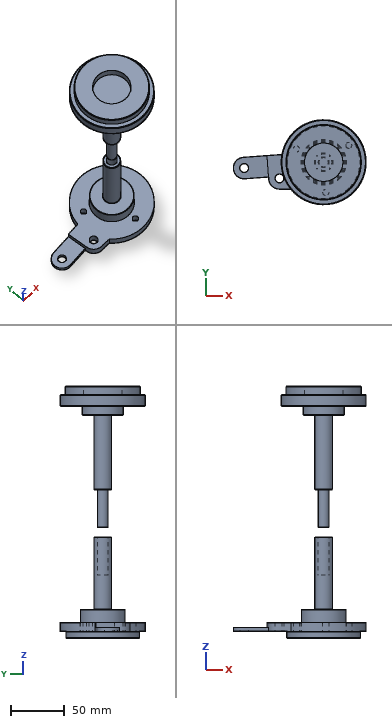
import cadquery as cq
import math

disc_top = 6.5
plate_top = 14.7
boss_top = 27.0
tube_top = 94.0
pin_bottom = 102.7
shaft_bottom = 137.7
hub_bottom = 206.7
flange_bottom = 215.0
flange_top = 226.0
knob_top = 233.8

flange_diameter = 78.8
shaft_diameter = 16.5
pin_diameter = 10.0
edge_chamfer = 0.7

cap_diameter = 70.0
hub_diameter = 38.4
pocket_diameter = 35.5
pocket_depth = 8.5

disc_diameter = 68.5
boss_diameter = 41.5
boss_chamfer = 0.5
foot_flare = 0.35
foot_angle = 45
bore_depth = shaft_bottom - pin_bottom

plate_bore_diameter = 42.0
screw_hole_diameter = 5.5
screw_circle_radius = 28.0
screw_hole_count = 3
screw_start_angle = 34
arm_thickness = 3.7
arm_radius = 10.0
arm_hole_diameter = 8.0
arm_hole_x = -73.7
arm_hole_y = -5.4
lug_radius = 10.0
lug_hole_x = -41.0
lug_hole_y = -15.0

plate_thickness = plate_top - disc_top
arm_length = math.hypot(arm_hole_x, arm_hole_y)
along_x = arm_hole_x / arm_length
along_y = arm_hole_y / arm_length
across_x = along_y
across_y = -along_x


def cylinder(diameter, bottom, top):
    return cq.Workplane("XY").workplane(offset=bottom).circle(diameter / 2).extrude(top - bottom)


def arm_point(distance, side):
    """Point at a distance out along the arm axis and a side offset toward +Y."""
    return (distance * along_x + side * across_x, distance * along_y + side * across_y)


def make_knob():
    cap = cylinder(cap_diameter, flange_top, knob_top).faces(">Z").chamfer(edge_chamfer)
    flange = cylinder(flange_diameter, flange_bottom, flange_top).edges().chamfer(edge_chamfer)
    hub = cylinder(hub_diameter, hub_bottom, flange_bottom).faces("<Z").chamfer(edge_chamfer)
    shaft = cylinder(shaft_diameter, shaft_bottom, hub_bottom).faces("<Z").chamfer(edge_chamfer)
    pin = cylinder(pin_diameter, pin_bottom, shaft_bottom).faces("<Z").chamfer(edge_chamfer)
    pocket = cylinder(pocket_diameter, knob_top - pocket_depth, knob_top)
    return cap.union(flange).union(hub).union(shaft).union(pin).cut(pocket)


def make_spindle():
    disc = cylinder(disc_diameter, 0, disc_top).edges().chamfer(edge_chamfer)
    boss = cylinder(boss_diameter, disc_top, boss_top).faces(">Z").chamfer(boss_chamfer)
    tube = cylinder(shaft_diameter, boss_top, tube_top).faces(">Z").chamfer(edge_chamfer)
    foot_diameter = shaft_diameter + 2 * foot_flare
    foot = (
        cq.Workplane("XY").workplane(offset=boss_top)
        .circle(foot_diameter / 2).extrude(foot_flare, taper=foot_angle)
    )
    bore = cylinder(pin_diameter, tube_top - bore_depth, tube_top)
    return disc.union(boss).union(tube).union(foot).cut(bore)


def make_arm():
    """Thin arm with a rounded end, level with the underside of the flange."""
    return (
        cq.Workplane("XY").workplane(offset=disc_top)
        .moveTo(*arm_point(flange_diameter / 2, arm_radius))
        .lineTo(*arm_point(arm_length, arm_radius))
        .threePointArc(arm_point(arm_length + arm_radius, 0), arm_point(arm_length, -arm_radius))
        .lineTo(*arm_point(flange_diameter / 2, -arm_radius))
        .close().extrude(arm_thickness)
    )


def make_lug():
    """Thick lug whose outer edge is square to the arm and rounds about the lug hole."""
    hole_distance = lug_hole_x * along_x + lug_hole_y * along_y
    hole_side = lug_hole_x * across_x + lug_hole_y * across_y
    edge_distance = hole_distance + lug_radius
    middle_angle = (math.atan2(along_y, along_x) - math.pi / 2) / 2
    arc_middle = (
        lug_hole_x + lug_radius * math.cos(middle_angle),
        lug_hole_y + lug_radius * math.sin(middle_angle),
    )
    arc_end = (lug_hole_x, lug_hole_y - lug_radius)
    return (
        cq.Workplane("XY").workplane(offset=disc_top)
        .moveTo(*arm_point(0, arm_radius))
        .lineTo(*arm_point(edge_distance, arm_radius))
        .lineTo(*arm_point(edge_distance, hole_side))
        .threePointArc(arc_middle, arc_end)
        .lineTo(0, arc_end[1])
        .close().extrude(plate_thickness)
    )


def make_plate():
    flange = cylinder(flange_diameter, disc_top, plate_top)
    plate = flange.union(make_lug()).union(make_arm())
    plate = plate.cut(cylinder(plate_bore_diameter, disc_top, plate_top))
    link_holes = (
        cq.Workplane("XY").workplane(offset=disc_top)
        .pushPoints([(arm_hole_x, arm_hole_y), (lug_hole_x, lug_hole_y)])
        .circle(arm_hole_diameter / 2).extrude(plate_thickness)
    )
    screw_holes = (
        cq.Workplane("XY").workplane(offset=disc_top)
        .polarArray(screw_circle_radius, screw_start_angle, 360, screw_hole_count)
        .circle(screw_hole_diameter / 2).extrude(plate_thickness)
    )
    return plate.cut(link_holes).cut(screw_holes)


knob = make_knob()
spindle = make_spindle()
plate = make_plate()
result = cq.Compound.makeCompound([knob.val(), spindle.val(), plate.val()])